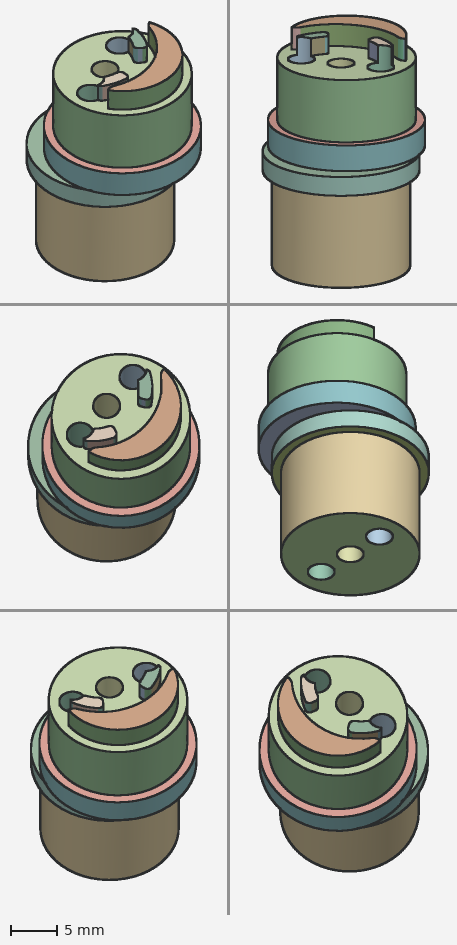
import cadquery as cq
import math

body_diameter = 15.0
flange_diameter = 17.0
axis_offset = 2.0
lower_body_top = 10.9
lower_flange_top = 13.05
upper_flange_top = 16.0
upper_body_top = 23.14

hole_diameter = 2.9
hole_spacing = 4.5

crescent_top = 25.65
crescent_outer_radius = 6.5
crescent_inner_radius = 7.5
crescent_end_x = axis_offset + 0.75
crescent_fillet = 1.03
key_top = 25.14
key_outer_radius = 6.5
key_inner_radius = 5.0
key_start_angle = 25.0
key_end_angle = 60.0
key_fillet = 0.51

arc_center_x = axis_offset - 4.0


def disc(center_x, diameter, bottom, top):
    """Vertical cylinder centred on the X axis."""
    base = cq.Workplane("XY", origin=(center_x, 0, bottom))
    return base.circle(diameter / 2).extrude(top - bottom)


def make_crescent():
    """Raised crescent with trimmed tips, rounded on the hollow side."""
    outer = disc(axis_offset, 2 * crescent_outer_radius, upper_body_top, crescent_top)
    hollow = disc(arc_center_x, 2 * crescent_inner_radius, upper_body_top, crescent_top)
    trim = (
        cq.Workplane("XY", origin=(crescent_end_x, 0, upper_body_top))
        .rect(body_diameter, body_diameter)
        .extrude(crescent_top - upper_body_top)
        .translate((-body_diameter / 2, 0, 0))
    )
    crescent = outer.cut(hollow).cut(trim)
    tip_y = math.sqrt(crescent_inner_radius**2 - (crescent_end_x - arc_center_x) ** 2)
    mid_z = (upper_body_top + crescent_top) / 2
    for y in (-tip_y, tip_y):
        corner = cq.selectors.NearestToPointSelector((crescent_end_x, y, mid_z))
        crescent = crescent.edges("|Z").edges(corner).fillet(crescent_fillet)
    return crescent


def make_key():
    """Arc-shaped key on the +Y side with rounded corners."""
    def polar(radius, angle):
        turn = math.radians(angle)
        return (radius * math.cos(turn), radius * math.sin(turn))

    mid_angle = (key_start_angle + key_end_angle) / 2
    return (
        cq.Workplane("XY", origin=(arc_center_x, 0, upper_body_top))
        .moveTo(*polar(key_inner_radius, key_start_angle))
        .lineTo(*polar(key_outer_radius, key_start_angle))
        .threePointArc(polar(key_outer_radius, mid_angle), polar(key_outer_radius, key_end_angle))
        .lineTo(*polar(key_inner_radius, key_end_angle))
        .threePointArc(polar(key_inner_radius, mid_angle), polar(key_inner_radius, key_start_angle))
        .close()
        .extrude(key_top - upper_body_top)
        .edges("|Z")
        .fillet(key_fillet)
    )


body = (
    disc(0, body_diameter, 0, lower_body_top)
    .union(disc(0, flange_diameter, lower_body_top, lower_flange_top))
    .union(disc(axis_offset, flange_diameter, lower_flange_top, upper_flange_top))
    .union(disc(axis_offset, body_diameter, upper_flange_top, upper_body_top))
)

key = make_key()
body = body.union(make_crescent()).union(key).union(key.mirror("XZ"))

holes = (
    cq.Workplane("XY")
    .rarray(0.25, hole_spacing, 1, 3)
    .circle(hole_diameter / 2)
    .extrude(crescent_top)
)
result = body.cut(holes)